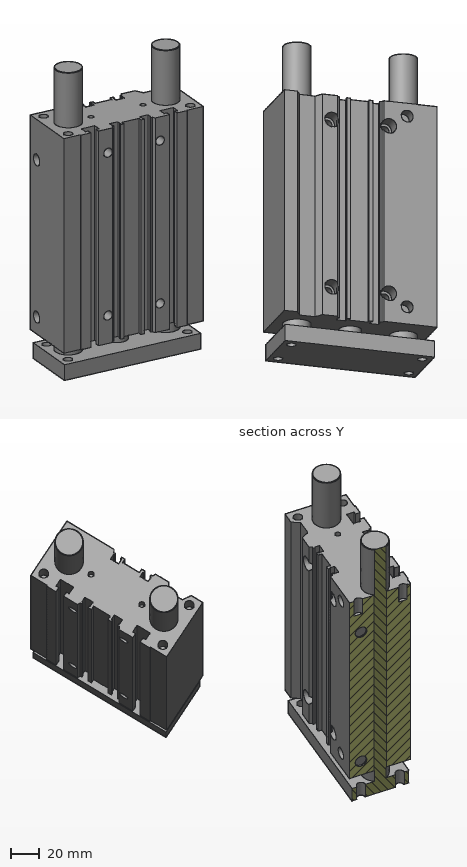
import cadquery as cq

housing_width = 48.0
housing_length = 112.0
housing_bottom = 21.5
housing_top = 185.0
housing_height = housing_top - housing_bottom
half_width = housing_width / 2
half_length = housing_length / 2
overcut = 2.3

end_relief_depth = 0.7
end_relief_start = 42.7

waist_half_length = 16.1
waist_depth = 2.0
waist_edge_slope = 1.0

centre_recess_half_length = 6.8
centre_recess_depth = 5.0
sensor_slot_inner_edge = 9.5
sensor_slot_mouth = 5.2
sensor_slot_position = sensor_slot_inner_edge + sensor_slot_mouth / 2
sensor_slot_width = 6.5
sensor_slot_neck_depth = 3.6
sensor_slot_depth = 7.3

groove_position = 37.2
groove_mouth = 18.5
groove_floor = 11.4
groove_depth = 6.0

t_slot_position = 31.5
t_slot_mouth = 6.1
t_slot_width = 10.7
t_slot_neck_depth = 3.6
t_slot_depth = 9.3

tapped_hole_diameter = 6.5
tapped_hole_depth = 13.6
tapped_hole_x = 17.3
tapped_hole_y = 49.0
locating_hole_diameter = 4.0
locating_hole_depth = 6.8
mount_hole_y = 20.9
mount_hole_heights = (43.0, 166.8)
mount_hole_diameter = 6.8
counterbore_diameter = 10.7
counterbore_depth = 11.4
port_diameter = 8.6
port_depth = 9.0
port_y = -34.0
port_heights = (34.3, 175.5)
end_port_x = -15.0
end_port_heights = (34.5, 154.1)
end_port_diameter = 8.6
end_port_depth = 9.0

plate_width = 44.0
plate_length = 109.5
plate_thickness = 12.0
plate_hole_diameter = 6.5
plate_hole_x = 15.0
plate_hole_y = 48.0
guide_rod_diameter = 20.0
guide_rod_y = 39.0
guide_rod_top = 227.0
guide_rod_chamfer = 0.5
piston_rod_diameter = 16.0


def vertical_groove(side, points):
    """Full-height cutter from (depth, y) points, sunk into the +X (side 1) or -X (side -1) face."""
    outline = [(side * (half_width - depth), y) for depth, y in points]
    return (
        cq.Workplane("XY", origin=(0, 0, housing_bottom))
        .polyline(outline)
        .close()
        .extrude(housing_height)
    )


def end_relief(end):
    return vertical_groove(1, [
        (-overcut, end * end_relief_start),
        (end_relief_depth, end * end_relief_start),
        (end_relief_depth, end * (half_length + overcut)),
        (-overcut, end * (half_length + overcut)),
    ])


def waist(side):
    shoulder = waist_half_length + waist_edge_slope
    return vertical_groove(side, [
        (-overcut, -shoulder),
        (0, -shoulder),
        (waist_depth, -waist_half_length),
        (waist_depth, waist_half_length),
        (0, shoulder),
        (-overcut, shoulder),
    ])


def centre_recess(side):
    return vertical_groove(side, [
        (0, -centre_recess_half_length),
        (centre_recess_depth, -centre_recess_half_length),
        (centre_recess_depth, centre_recess_half_length),
        (0, centre_recess_half_length),
    ])


def undercut_slot(side, position, mouth, width, neck_depth, depth):
    """T-shaped slot: a narrow mouth that opens into a wider channel."""
    return vertical_groove(side, [
        (-overcut, position - mouth / 2),
        (neck_depth, position - mouth / 2),
        (neck_depth, position - width / 2),
        (depth, position - width / 2),
        (depth, position + width / 2),
        (neck_depth, position + width / 2),
        (neck_depth, position + mouth / 2),
        (-overcut, position + mouth / 2),
    ])


def trapezoid_groove():
    return vertical_groove(-1, [
        (0, groove_position - groove_mouth / 2),
        (groove_depth, groove_position - groove_floor / 2),
        (groove_depth, groove_position + groove_floor / 2),
        (0, groove_position + groove_mouth / 2),
    ])


def hole_along_x(y, z, diameter, depth):
    """Round cutter that enters from the -X face."""
    return (
        cq.Workplane("YZ", origin=(-half_width, 0, 0))
        .center(y, z)
        .circle(diameter / 2)
        .extrude(depth)
    )


def make_housing():
    housing = cq.Workplane("XY", origin=(0, 0, housing_bottom)).box(
        housing_width, housing_length, housing_height, centered=(True, True, False)
    )

    housing = housing.cut(trapezoid_groove())
    for side in (-1, 1):
        housing = housing.cut(waist(side)).cut(centre_recess(side))
        for end in (-1, 1):
            housing = housing.cut(undercut_slot(
                side, end * sensor_slot_position, sensor_slot_mouth, sensor_slot_width,
                sensor_slot_neck_depth, sensor_slot_depth,
            ))
    for end in (-1, 1):
        housing = housing.cut(end_relief(end))
        housing = housing.cut(undercut_slot(
            1, end * t_slot_position, t_slot_mouth, t_slot_width, t_slot_neck_depth, t_slot_depth,
        ))

    for z in mount_hole_heights:
        for y in (-mount_hole_y, mount_hole_y):
            housing = housing.cut(hole_along_x(y, z, mount_hole_diameter, housing_width))
            housing = housing.cut(hole_along_x(y, z, counterbore_diameter, counterbore_depth))
    for z in port_heights:
        housing = housing.cut(hole_along_x(port_y, z, port_diameter, port_depth))

    for z in end_port_heights:
        housing = housing.cut(
            cq.Workplane("XZ", origin=(end_port_x, -half_length, z))
            .circle(end_port_diameter / 2)
            .extrude(-end_port_depth)
        )

    top_face = cq.Workplane("XY", origin=(0, 0, housing_top))
    tapped_holes = (
        top_face.rect(2 * tapped_hole_x, 2 * tapped_hole_y, forConstruction=True)
        .vertices()
        .circle(tapped_hole_diameter / 2)
        .extrude(-tapped_hole_depth)
    )
    locating_holes = (
        top_face.pushPoints([(0, -mount_hole_y), (0, mount_hole_y)])
        .circle(locating_hole_diameter / 2)
        .extrude(-locating_hole_depth)
    )
    guide_bores = (
        top_face.pushPoints([(0, -guide_rod_y), (0, guide_rod_y)])
        .circle(guide_rod_diameter / 2)
        .extrude(-housing_height)
    )
    return housing.cut(tapped_holes).cut(locating_holes).cut(guide_bores)


def make_slide():
    plate = (
        cq.Workplane("XY")
        .box(plate_width, plate_length, plate_thickness, centered=(True, True, False))
        .faces(">Z")
        .workplane()
        .rect(2 * plate_hole_x, 2 * plate_hole_y, forConstruction=True)
        .vertices()
        .hole(plate_hole_diameter)
    )
    plate_top = cq.Workplane("XY", origin=(0, 0, plate_thickness))
    guide_rods = (
        plate_top.pushPoints([(0, -guide_rod_y), (0, guide_rod_y)])
        .circle(guide_rod_diameter / 2)
        .extrude(guide_rod_top - plate_thickness)
        .faces(">Z")
        .chamfer(guide_rod_chamfer)
    )
    piston_rod = plate_top.circle(piston_rod_diameter / 2).extrude(housing_bottom - plate_thickness)
    return plate.union(guide_rods).union(piston_rod)


housing = make_housing()
slide = make_slide()

result = cq.Compound.makeCompound([housing.val(), slide.val()])